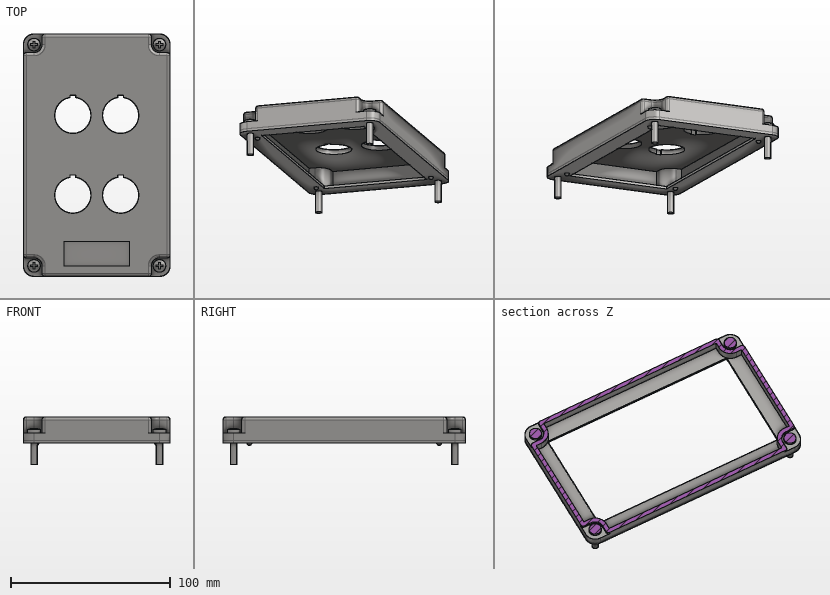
import cadquery as cq
import math

WIDTH = 92.0
LENGTH = 152.0
LID_HEIGHT = 16.4
CORNER_RADIUS = 6.7
EDGE_FILLET = 2.0
WALL = 3.0

GASKET_HEIGHT = 1.7
GASKET_BORDER = 12.3
PEG_RADIUS = 1.5
PEG_INSET_X = 8.2
PEG_INSET_Y = 16.5

SCREW_INSET = CORNER_RADIUS
RECESS_SIZE = 11.7
RECESS_FLOOR = 6.2
RECESS_RADIUS = RECESS_SIZE - SCREW_INSET
HEAD_DIAMETER = 7.9
HEAD_RIM_HEIGHT = 2.1
DOME_HEIGHT = 0.9
SHANK_DIAMETER = 4.1
SHANK_LENGTH = 13.5
CROSS_LENGTH = 4.1
CROSS_WIDTH = 1.0
CROSS_DEPTH = 0.9

HOLE_DIAMETER = 22.5
HOLE_SPACING_X = 30.0
HOLE_SPACING_Y = 50.0
NOTCH_WIDTH = 3.3
NOTCH_REACH = 12.5

LABEL_WIDTH = 41.0
LABEL_LENGTH = 15.5
LABEL_DEPTH = 1.0
LABEL_CENTRE_Y = -61.7

CORNERS = [(sx, sy) for sx in (-1, 1) for sy in (-1, 1)]


def corner_points(inset_x, inset_y):
    """Four mirrored points at the given insets from the lid's sides."""
    return [(sx * (WIDTH / 2 - inset_x), sy * (LENGTH / 2 - inset_y)) for sx, sy in CORNERS]


def corner_blocks(size, radius, bottom, height):
    """Four blocks filling the lid's corners, rounded on their inward vertical edge."""
    return (
        cq.Workplane("XY", origin=(0, 0, bottom))
        .pushPoints(corner_points(0, 0))
        .rect(2 * size, 2 * size)
        .extrude(height)
        .edges("|Z")
        .fillet(radius)
    )


def rounded_slab(bottom, height):
    """Slab with the lid's full rounded outline."""
    slab = cq.Workplane("XY", origin=(0, 0, bottom)).rect(WIDTH, LENGTH).extrude(height)
    return slab.edges("|Z").fillet(CORNER_RADIUS)


def make_shell():
    """Lid with stepped-down corners, rounded upper edges and a hollow underside."""
    raised_height = LID_HEIGHT - RECESS_FLOOR
    raised = cq.Workplane("XY", origin=(0, 0, RECESS_FLOOR)).rect(WIDTH, LENGTH).extrude(raised_height)
    raised = raised.cut(corner_blocks(RECESS_SIZE, RECESS_RADIUS, RECESS_FLOOR, raised_height))
    raised = raised.faces("<X or >X or <Y or >Y").edges("|Z").fillet(EDGE_FILLET)
    raised = raised.faces(">Z").edges().fillet(EDGE_FILLET)
    base = rounded_slab(GASKET_HEIGHT, RECESS_FLOOR - GASKET_HEIGHT)

    cavity_height = LID_HEIGHT - WALL - GASKET_HEIGHT
    cavity = (
        cq.Workplane("XY", origin=(0, 0, GASKET_HEIGHT))
        .rect(WIDTH - 2 * WALL, LENGTH - 2 * WALL)
        .extrude(cavity_height)
    )
    posts = corner_blocks(RECESS_SIZE + WALL, RECESS_RADIUS + WALL, GASKET_HEIGHT, cavity_height)
    return base.union(raised).cut(cavity.cut(posts))


def make_gasket():
    """Flat frame under the lid walls, reaching inward as a ledge."""
    opening = (
        cq.Workplane("XY")
        .rect(WIDTH - 2 * GASKET_BORDER, LENGTH - 2 * GASKET_BORDER)
        .extrude(GASKET_HEIGHT)
    )
    return rounded_slab(0, GASKET_HEIGHT).cut(opening)


def make_pegs():
    """Round pegs whose lower halves stand out of the gasket's underside."""
    return (
        cq.Workplane("XY")
        .pushPoints(corner_points(PEG_INSET_X, PEG_INSET_Y))
        .sphere(PEG_RADIUS)
    )


def make_screw():
    """Dome-headed cross-slot screw on the Z axis, its head seated at the recess floor height."""
    radius = HEAD_DIAMETER / 2
    rim_top = RECESS_FLOOR + HEAD_RIM_HEIGHT
    head_top = rim_top + DOME_HEIGHT
    dome_radius = (radius**2 + DOME_HEIGHT**2) / (2 * DOME_HEIGHT)
    half_angle = math.asin(radius / dome_radius) / 2
    arc_middle = (
        dome_radius * math.sin(half_angle),
        head_top - dome_radius * (1 - math.cos(half_angle)),
    )
    screw = (
        cq.Workplane("XZ")
        .moveTo(0, -SHANK_LENGTH)
        .lineTo(SHANK_DIAMETER / 2, -SHANK_LENGTH)
        .lineTo(SHANK_DIAMETER / 2, RECESS_FLOOR)
        .lineTo(radius, RECESS_FLOOR)
        .lineTo(radius, rim_top)
        .threePointArc(arc_middle, (0, head_top))
        .close()
        .revolve(360, (0, 0), (0, 1))
    )
    slot = cq.Workplane("XY", origin=(0, 0, head_top))
    screw = screw.cut(slot.rect(CROSS_LENGTH, CROSS_WIDTH).extrude(-CROSS_DEPTH))
    return screw.cut(slot.rect(CROSS_WIDTH, CROSS_LENGTH).extrude(-CROSS_DEPTH))


def make_button_holes():
    grid = cq.Workplane("XY").rarray(HOLE_SPACING_X, HOLE_SPACING_Y, 2, 2)
    bores = grid.circle(HOLE_DIAMETER / 2).extrude(LID_HEIGHT)
    notches = (
        cq.Workplane("XY", origin=(0, NOTCH_REACH / 2, 0))
        .rarray(HOLE_SPACING_X, HOLE_SPACING_Y, 2, 2)
        .rect(NOTCH_WIDTH, NOTCH_REACH)
        .extrude(LID_HEIGHT)
    )
    return bores.union(notches)


def make_label_recess():
    return (
        cq.Workplane("XY", origin=(0, LABEL_CENTRE_Y, LID_HEIGHT))
        .rect(LABEL_WIDTH, LABEL_LENGTH)
        .extrude(-LABEL_DEPTH)
    )


lid = make_shell().cut(make_button_holes()).cut(make_label_recess())
result = lid.union(make_gasket(), clean=False).union(make_pegs(), clean=False)
for x, y in corner_points(SCREW_INSET, SCREW_INSET):
    result = result.union(make_screw().translate((x, y, 0)), clean=False)